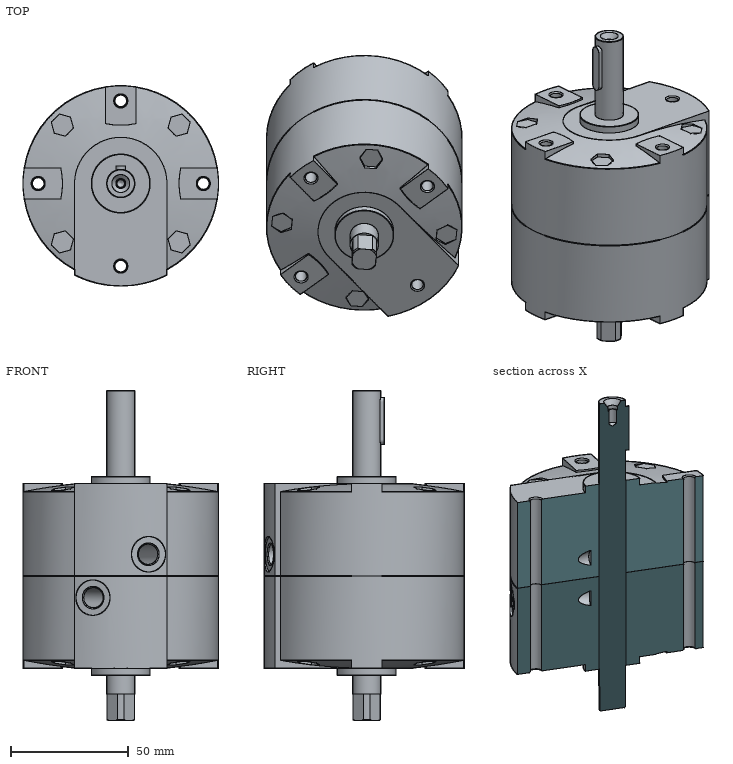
import cadquery as cq
import math

body_radius = 41.5
half_height = 39.2
rim_height = 35.75
dome_radius = 205.0
edge_break = 0.2

block_width = 39.2
block_radius = 43.5

pad_angles = (0, 90, 180)
pad_width = 13.0
pad_inner_reach = 24.7
pad_inner_arc_radius = 30.0
mount_circle_radius = 35.0
mount_hole_diameter = 4.92
mount_thread_diameter = 6.0

screw_circle_radius = 35.0
screw_flats = 8.4
screw_floor_height = 36.2

port_angle = 16.0
port_z = 9.2
port_face_diameter = 15.0
port_face_distance = 42.5
port_hole_diameter = 8.57
port_chamfer = 0.5
port_depth = 33.0

collar_diameter = 25.0
collar_height = 3.0

shaft_diameter = 12.0
shaft_top = 78.7
shaft_length = 140.0
shaft_bottom = shaft_top - shaft_length
square_length = 11.3
square_flats = 10.0
square_corner_diameter = 11.8
square_chamfer = 0.5
centre_mouth_diameter = 7.6
centre_step_diameter = 4.2
centre_hole_diameter = 3.24
centre_cone_depth = 2.4
centre_step_depth = 4.0
centre_hole_depth = 10.0
drill_tip_angle = 118.0

key_width = 4.0
key_length = 20.0
key_top = shaft_top - 3.0
key_inner_y = 3.0
key_outer_y = 7.5


def domed_drum():
    """Round half of the housing, closed by a shallow spherical end that stays below the block's top."""
    dome_centre = rim_height - math.sqrt(dome_radius**2 - body_radius**2)
    drum = (
        cq.Workplane("XY")
        .circle(body_radius)
        .extrude(rim_height)
        .faces("<Z or >Z")
        .chamfer(edge_break)
    )
    dome = (
        cq.Workplane("XY", origin=(0, 0, rim_height - edge_break))
        .circle(body_radius - edge_break)
        .extrude(half_height - rim_height + edge_break)
        .intersect(cq.Workplane("XY").sphere(dome_radius).translate((0, 0, dome_centre)))
    )
    return drum.union(dome)


def port_block():
    """Block from the axis to the front, with a round back end and a curved front face."""
    bar = cq.Workplane("XY").center(0, -block_radius / 2).rect(block_width, block_radius).extrude(half_height)
    round_end = cq.Workplane("XY").circle(block_width / 2).extrude(half_height)
    limit = cq.Workplane("XY").circle(block_radius).extrude(half_height)
    return bar.intersect(limit).faces("<Z").edges().chamfer(edge_break).union(round_end)


def pad(angle):
    """Flat mounting pad at the rim, with an inner edge that bulges towards the axis."""
    half_width = pad_width / 2
    bulge = pad_inner_arc_radius - math.sqrt(pad_inner_arc_radius**2 - half_width**2)
    corner_x = pad_inner_reach + bulge
    blank = (
        cq.Workplane("XY")
        .moveTo(body_radius, -half_width)
        .lineTo(corner_x, -half_width)
        .threePointArc((pad_inner_reach, 0), (corner_x, half_width))
        .lineTo(body_radius, half_width)
        .close()
        .extrude(half_height)
    )
    limit = cq.Workplane("XY").circle(body_radius).extrude(half_height)
    return blank.intersect(limit).rotate((0, 0, 0), (0, 0, 1), angle)


def mount_holes():
    """Threaded through holes, countersunk to the thread diameter at the end face."""
    countersink = (mount_thread_diameter - mount_hole_diameter) / 2
    hole_radius = mount_hole_diameter / 2
    profile = (
        cq.Workplane("XZ")
        .polyline([
            (0, 0),
            (hole_radius, 0),
            (hole_radius, half_height - countersink),
            (hole_radius + countersink, half_height),
            (0, half_height),
        ])
        .close()
    )
    hole = profile.revolve(360, (0, 0, 0), (0, 1, 0)).translate((mount_circle_radius, 0, 0))
    return [hole.rotate((0, 0, 0), (0, 0, 1), angle) for angle in (0, 90, 180, 270)]


def screw_recesses():
    """Hexagonal recesses between the pads, each with a flat turned to the rim."""
    corner_diameter = screw_flats / math.cos(math.pi / 6)
    recess = (
        cq.Workplane("XY", origin=(0, 0, screw_floor_height))
        .polygon(6, corner_diameter)
        .extrude(half_height)
        .rotate((0, 0, 0), (0, 0, 1), 30)
        .translate((screw_circle_radius, 0, 0))
    )
    return [recess.rotate((0, 0, 0), (0, 0, 1), angle) for angle in (45, 135, 225, 315)]


def port(angle):
    """Spot face, chamfered mouth and blind hole, running in towards the axis."""
    face = cq.Workplane("XZ", origin=(0, -port_face_distance, port_z))
    spot_face = face.circle(port_face_diameter / 2).extrude(block_radius - port_face_distance)
    hole = face.circle(port_hole_diameter / 2).extrude(-port_depth)
    mouth = cq.Workplane(
        cq.Solid.makeCone(
            port_hole_diameter / 2 + port_chamfer,
            port_hole_diameter / 2,
            port_chamfer,
            cq.Vector(0, -port_face_distance, port_z),
            cq.Vector(0, 1, 0),
        )
    )
    return spot_face.union(hole).union(mouth).rotate((0, 0, 0), (0, 0, 1), angle)


def housing_half(port_side):
    half = domed_drum().union(port_block())
    for angle in pad_angles:
        half = half.union(pad(angle))
    collar = (
        cq.Workplane("XY")
        .circle(collar_diameter / 2)
        .extrude(half_height + collar_height)
        .faces(">Z")
        .chamfer(edge_break)
    )
    half = half.union(collar)
    for cutter in mount_holes() + screw_recesses():
        half = half.cut(cutter)
    half = half.cut(port(port_side * port_angle))
    bore = cq.Workplane("XY").circle(shaft_diameter / 2).extrude(half_height + collar_height)
    return half.cut(bore)


def drive_square():
    """Square end with its corners turned down, standing on a corner."""
    square = (
        cq.Workplane("XY", origin=(0, 0, shaft_bottom))
        .rect(square_flats, square_flats)
        .extrude(square_length)
        .rotate((0, 0, 0), (0, 0, 1), 45)
    )
    turned = (
        cq.Workplane("XY", origin=(0, 0, shaft_bottom))
        .circle(square_corner_diameter / 2)
        .extrude(square_length)
        .faces("<Z")
        .chamfer(square_chamfer)
    )
    return square.intersect(turned)


def centre_hole():
    """Cone-mouthed drilled hole in the top end of the shaft."""
    radius = centre_hole_diameter / 2
    floor = shaft_top - centre_hole_depth
    tip_depth = radius / math.tan(math.radians(drill_tip_angle / 2))
    profile = (
        cq.Workplane("XZ")
        .polyline([
            (0, floor - tip_depth),
            (radius, floor),
            (radius, shaft_top - centre_step_depth),
            (centre_step_diameter / 2, shaft_top - centre_step_depth),
            (centre_step_diameter / 2, shaft_top - centre_cone_depth),
            (centre_mouth_diameter / 2, shaft_top),
            (0, shaft_top),
        ])
        .close()
    )
    return profile.revolve(360, (0, 0, 0), (0, 1, 0))


def shaft_key():
    """Round-ended key standing out of the shaft on the +Y side."""
    return (
        cq.Workplane("XZ", origin=(0, key_outer_y, key_top - key_length / 2))
        .slot2D(key_length, key_width, 90)
        .extrude(key_outer_y - key_inner_y)
    )


def drive_shaft():
    round_bottom = shaft_bottom + square_length
    rod = (
        cq.Workplane("XY", origin=(0, 0, round_bottom))
        .circle(shaft_diameter / 2)
        .extrude(shaft_top - round_bottom)
        .faces(">Z")
        .chamfer(edge_break)
    )
    return rod.union(drive_square()).union(shaft_key()).cut(centre_hole())


upper_housing = housing_half(1)
lower_housing = housing_half(-1).mirror("XY")
shaft = drive_shaft()

result = cq.Compound.makeCompound([upper_housing.val(), lower_housing.val(), shaft.val()])